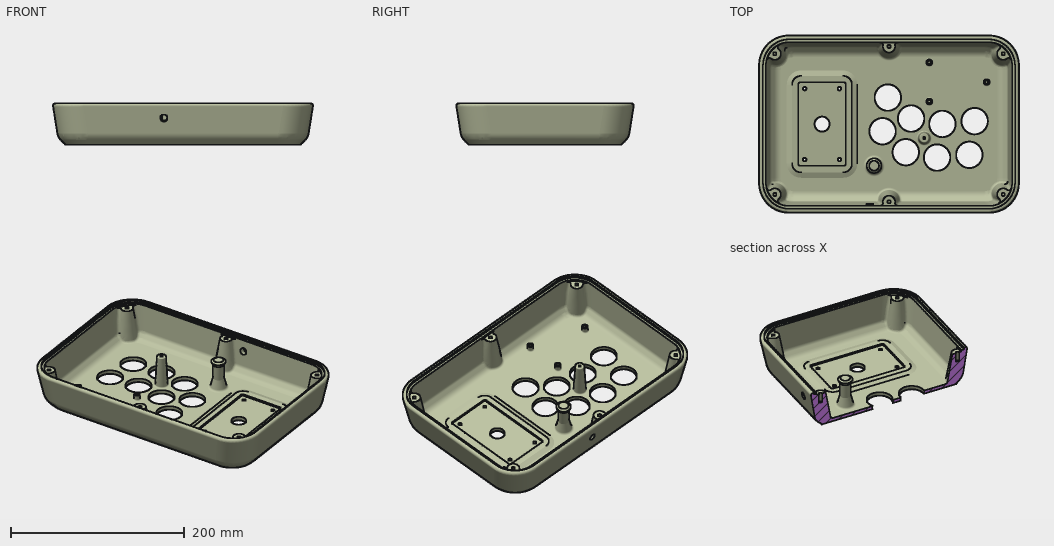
import cadquery as cq
import math

HEIGHT = 48.0
RIM_LENGTH = 299.18
RIM_WIDTH = 204.18
DRAFT = 9.0
CORNER_RADIUS = 35.0
RIM_ROUND = 3.0
BASE_BEVEL_TOP = 9.0
BASE_ROUND = 14.0

WALL = 8.0
FLOOR = 5.0
FLOOR_ROUND = 10.0
LEDGE_Z = 45.6
RIM_WALL = 4.6

BOSS_TOP_Z = 43.6
BOSS_TOP_RADIUS = 7.0
BOSS_DRAFT = 10.0
BOSS_FOOT_ROUND = 3.0
BOSS_HOLE_DIAMETER = 3.78
BOSS_HOLE_DEPTH = 12.0
CORNER_BOSS_X = 131.3
CORNER_BOSS_Y = 80.9
MIDDLE_BOSS_Y = 89.3

POST_CENTER = (40.4, -16.0)
POST_TOP_Z = 43.6
POST_TOP_RADIUS = 5.3
POST_DRAFT = 3.0
POST_TOP_ROUND = 0.9
POST_FOOT_ROUND = 1.5
POST_HOLE_DIAMETER = 2.53
POST_HOLE_DEPTH = 12.0

KNOB_CENTER = (-17.2, -47.8)
KNOB_TOP_Z = 42.0
KNOB_TOP_RADIUS = 5.7
KNOB_HEAD_RADIUS = 8.5
KNOB_HEAD_BEVEL = 2.0
KNOB_NECK_RADIUS = 6.4
KNOB_NECK_TOP = 6.0
KNOB_NECK_BOTTOM = 24.0
KNOB_FOOT_RADIUS = 10.0
KNOB_FOOT_ROUND = 3.0

STANDOFF_CENTERS = [(46.3, 71.0), (46.3, 26.0), (112.3, 48.4)]
STANDOFF_HEIGHT = 6.5
STANDOFF_TOP_RADIUS = 3.4
STANDOFF_DRAFT = 3.0
STANDOFF_FOOT_ROUND = 1.5
STANDOFF_BORE_DIAMETER = 3.78
STANDOFF_BORE_DEPTH = 6.0

BUTTON_DIAMETER = 30.15
UPPER_BUTTONS = [(-1.3, 30.5), (25.4, 6.4), (61.4, 0.2), (98.5, 3.4)]
ROW_SHIFT = (-6.1, -38.7)

PAD_X = -77.0
PAD_LENGTH = 81.2
PAD_WIDTH = 123.4
PAD_HEIGHT = 2.0
PAD_SLOPE = 18.0
PAD_CORNER_RADIUS = 16.5
PAD_POCKET_LENGTH = 54.4
PAD_POCKET_WIDTH = 96.0
PAD_POCKET_DEPTH = 2.0
PAD_POCKET_CORNER = 2.0
STICK_DIAMETER = 17.0
PAD_SCREW_DIAMETER = 3.78
PAD_SCREW_SPACING = (40.0, 81.6)

CABLE_X = -22.0
CABLE_Z = 30.8
CABLE_DIAMETER = 8.0

EXTRA = 1.0
TOUCH = 0.01

draft = math.radians(DRAFT)
rim_pull_in = RIM_ROUND * (math.tan(draft) + 1 / math.cos(draft) - 1)
SHARP_LENGTH = RIM_LENGTH + 2 * rim_pull_in
SHARP_WIDTH = RIM_WIDTH + 2 * rim_pull_in
WALL_ACROSS = WALL / math.cos(draft)


def drafted_block(setback, top_z, bottom_z, corner_radius):
    """Rounded block parallel to the outer walls, set back from them and narrowing downward."""
    inset = setback + (HEIGHT - top_z) * math.tan(draft)
    block = (
        cq.Workplane("XY", origin=(0, 0, top_z))
        .rect(SHARP_LENGTH - 2 * inset, SHARP_WIDTH - 2 * inset)
        .extrude(bottom_z - top_z, taper=DRAFT)
    )
    return block.edges("not #Z").fillet(corner_radius)


def bevel_base(block, bevel_height, blend_radius, bottom_z):
    """Bevel the bottom edge at 45 degrees and blend the bevel into the wall."""
    along_wall = bevel_height / math.cos(draft)
    along_floor = bevel_height * (1 - math.tan(draft))
    block = block.faces("<Z").chamfer(along_wall, along_floor)
    bevel_z = bottom_z + bevel_height
    blend = cq.selectors.BoxSelector(
        (-SHARP_LENGTH, -SHARP_WIDTH, bevel_z - EXTRA / 2),
        (SHARP_LENGTH, SHARP_WIDTH, bevel_z + EXTRA / 2),
    )
    return block.edges(blend).fillet(blend_radius)


def make_outer():
    block = drafted_block(0, HEIGHT, 0, CORNER_RADIUS)
    block = bevel_base(block, BASE_BEVEL_TOP, BASE_ROUND, 0)
    return block.faces(">Z").edges().fillet(RIM_ROUND)


def boss_radius(z):
    return BOSS_TOP_RADIUS + (BOSS_TOP_Z - z) * math.tan(math.radians(BOSS_DRAFT))


def boss_centers():
    corners = [(x, y) for x in (-CORNER_BOSS_X, CORNER_BOSS_X) for y in (-CORNER_BOSS_Y, CORNER_BOSS_Y)]
    return corners + [(0, -MIDDLE_BOSS_Y), (0, MIDDLE_BOSS_Y)]


def cone(center, bottom_z, bottom_radius, top_z, top_radius):
    return cq.Workplane(cq.Solid.makeCone(
        bottom_radius, top_radius, top_z - bottom_z, pnt=cq.Vector(*center, bottom_z)
    ))


def is_boss_foot(edge, center):
    """True for an edge where the boss cone runs into the wall or the floor."""
    for place in (0, 0.5, 1):
        point = edge.positionAt(place)
        from_axis = math.hypot(point.x - center[0], point.y - center[1])
        if point.z > HEIGHT - TOUCH and place == 0.5:
            return False
        if abs(from_axis - boss_radius(point.z)) > TOUCH:
            return False
    return True


def make_cavity():
    bevel_shift = WALL * math.sqrt(2) - WALL_ACROSS
    inner_bevel_z = BASE_BEVEL_TOP + bevel_shift / (1 - math.tan(draft))
    block = drafted_block(WALL_ACROSS, HEIGHT, FLOOR, CORNER_RADIUS - WALL)
    block = bevel_base(block, inner_bevel_z - FLOOR, BASE_ROUND - WALL, FLOOR)
    block = block.faces("<Z").edges().fillet(FLOOR_ROUND)
    for center in boss_centers():
        below, above = FLOOR - EXTRA, HEIGHT + EXTRA
        block = block.cut(cone(center, below, boss_radius(below), above, boss_radius(above)))
        foot = [edge for edge in block.edges().vals() if is_boss_foot(edge, center)]
        block = block.newObject(foot).fillet(BOSS_FOOT_ROUND)
    clearance = drafted_block(WALL_ACROSS, HEIGHT, BOSS_TOP_Z, CORNER_RADIUS - WALL)
    seat = (
        cq.Workplane("XY", origin=(0, 0, LEDGE_Z))
        .rect(RIM_LENGTH - 2 * RIM_WALL, RIM_WIDTH - 2 * RIM_WALL)
        .extrude(HEIGHT + EXTRA - LEDGE_Z)
        .edges("|Z")
        .fillet(CORNER_RADIUS - RIM_WALL)
    )
    return block.union(clearance).union(seat)


def drill(centers, diameter, top_z, bottom_z):
    """Upright round cutters at the given places."""
    return (
        cq.Workplane("XY", origin=(0, 0, bottom_z))
        .pushPoints(centers)
        .circle(diameter / 2)
        .extrude(top_z - bottom_z)
    )


def turned_post(center, outline, foot_round):
    """Post turned from (radius, height) points, foot first, with a round where it meets the floor."""
    foot_radius = outline[0][0]
    footing_radius = foot_radius + 2 * foot_round
    footing = [(0, FLOOR - EXTRA), (footing_radius, FLOOR - EXTRA), (footing_radius, FLOOR)]
    profile = cq.Workplane("XZ").polyline(footing + outline + [(0, outline[-1][1])]).close()
    post = profile.revolve(360, (0, 0, 0), (0, 1, 0))
    reach = foot_radius + foot_round
    foot = cq.selectors.BoxSelector(
        (-reach, -reach, FLOOR - EXTRA / 2), (reach, reach, FLOOR + EXTRA / 2), boundingbox=True
    )
    return post.edges(foot).fillet(foot_round).translate((*center, 0))


def tapered_outline(top_radius, top_z, lean):
    foot_radius = top_radius + (top_z - FLOOR) * math.tan(math.radians(lean))
    return [(foot_radius, FLOOR), (top_radius, top_z)]


def make_post():
    post = turned_post(POST_CENTER, tapered_outline(POST_TOP_RADIUS, POST_TOP_Z, POST_DRAFT), POST_FOOT_ROUND)
    post = post.faces(">Z").edges().fillet(POST_TOP_ROUND)
    return post.cut(drill([POST_CENTER], POST_HOLE_DIAMETER, HEIGHT, POST_TOP_Z - POST_HOLE_DEPTH))


def make_standoff(center):
    top_z = FLOOR + STANDOFF_HEIGHT
    outline = tapered_outline(STANDOFF_TOP_RADIUS, top_z, STANDOFF_DRAFT)
    post = turned_post(center, outline, STANDOFF_FOOT_ROUND)
    return post.cut(drill([center], STANDOFF_BORE_DIAMETER, HEIGHT, top_z - STANDOFF_BORE_DEPTH))


def make_knob():
    """Post with a flared foot, a straight neck and a bevelled head."""
    outline = [
        (KNOB_FOOT_RADIUS, FLOOR),
        (KNOB_NECK_RADIUS, KNOB_TOP_Z - KNOB_NECK_BOTTOM),
        (KNOB_NECK_RADIUS, KNOB_TOP_Z - KNOB_NECK_TOP),
        (KNOB_HEAD_RADIUS, KNOB_TOP_Z - KNOB_HEAD_BEVEL),
        (KNOB_TOP_RADIUS, KNOB_TOP_Z),
    ]
    return turned_post(KNOB_CENTER, outline, KNOB_FOOT_ROUND)


def make_pad():
    """Low raised pad with sloping flanks; its corners are cones about one centre."""
    pad = cq.Sketch().rect(PAD_LENGTH, PAD_WIDTH).vertices().fillet(PAD_CORNER_RADIUS)
    return (
        cq.Workplane("XY", origin=(PAD_X, 0, FLOOR))
        .placeSketch(pad)
        .extrude(PAD_HEIGHT, taper=90 - PAD_SLOPE)
    )


def make_pad_cuts():
    pocket = (
        cq.Workplane("XY", origin=(PAD_X, 0, FLOOR + PAD_HEIGHT - PAD_POCKET_DEPTH))
        .rect(PAD_POCKET_LENGTH, PAD_POCKET_WIDTH)
        .extrude(HEIGHT)
        .edges("|Z")
        .fillet(PAD_POCKET_CORNER)
    )
    reach_x, reach_y = PAD_SCREW_SPACING[0] / 2, PAD_SCREW_SPACING[1] / 2
    screws = [(PAD_X + x, y) for x in (-reach_x, reach_x) for y in (-reach_y, reach_y)]
    pocket = pocket.union(drill([(PAD_X, 0)], STICK_DIAMETER, HEIGHT, -EXTRA))
    return pocket.union(drill(screws, PAD_SCREW_DIAMETER, HEIGHT, -EXTRA))


def make_button_holes():
    lower = [(x + ROW_SHIFT[0], y + ROW_SHIFT[1]) for x, y in UPPER_BUTTONS]
    return drill(UPPER_BUTTONS + lower, BUTTON_DIAMETER, HEIGHT, -EXTRA)


def make_cable_hole():
    """Hole square to the leaning wall, so it rises toward the inside."""
    outside_y = -SHARP_WIDTH / 2 + (HEIGHT - CABLE_Z) * math.tan(draft)
    inward = cq.Vector(0, math.cos(draft), math.sin(draft))
    start = cq.Vector(CABLE_X, outside_y, CABLE_Z) - inward * WALL
    return cq.Workplane(cq.Solid.makeCylinder(CABLE_DIAMETER / 2, 3 * WALL, start, inward))


tray = make_outer().cut(make_cavity())
tray = tray.cut(drill(boss_centers(), BOSS_HOLE_DIAMETER, HEIGHT, BOSS_TOP_Z - BOSS_HOLE_DEPTH))
tray = tray.union(make_pad())
tray = tray.cut(make_pad_cuts())
tray = tray.cut(make_button_holes())
tray = tray.cut(make_cable_hole())
tray = tray.union(make_knob())
tray = tray.union(make_post())
for standoff_center in STANDOFF_CENTERS:
    tray = tray.union(make_standoff(standoff_center))

result = tray